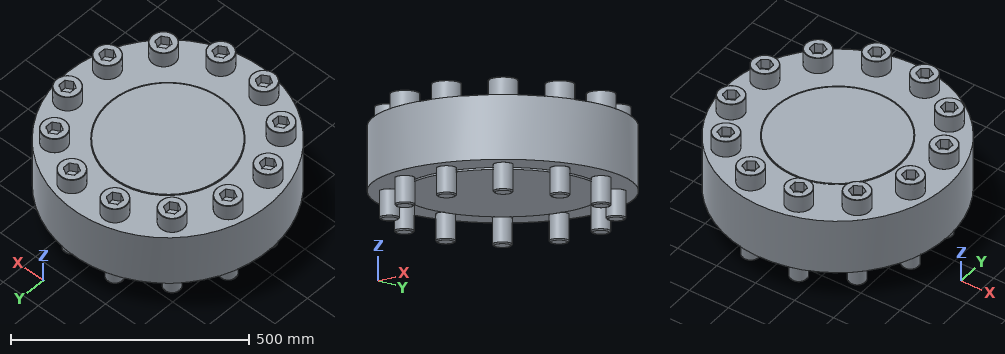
import cadquery as cq
import math

flange_diameter = 570.0
flange_thickness = 140.0
raised_face_diameter = 426.0
raised_face_height = 4.0

plug_diameter = 323.9
plug_chamfer = 2.0

bolt_count = 12
bolt_circle_diameter = 476.0
first_bolt_angle = 180.0 / bolt_count
shank_diameter = 42.0
shank_length = 200.0
shank_chamfer = 3.0
head_diameter = 63.0
head_height = shank_diameter
head_chamfer = 1.0
socket_across_flats = 32.0
socket_depth = 24.0


def make_plug_groove():
    """Ring with a vertical outer wall and a 45 degree inner slope."""
    plug_radius = plug_diameter / 2
    profile = [
        (plug_radius, flange_thickness),
        (plug_radius - plug_chamfer, flange_thickness),
        (plug_radius, flange_thickness - plug_chamfer),
    ]
    return cq.Workplane("XZ").polyline(profile).close().revolve(360, (0, 0), (0, 1))


def make_flange():
    rim = cq.Workplane("XY").circle(flange_diameter / 2).extrude(flange_thickness)
    raised_face = cq.Workplane("XY").circle(raised_face_diameter / 2).extrude(-raised_face_height)
    return rim.union(raised_face).cut(make_plug_groove())


def make_bolt():
    """Bolt on the Z axis with its head seated on the top of the flange."""
    seat = cq.Workplane("XY", origin=(0, 0, flange_thickness))
    head = seat.circle(head_diameter / 2).extrude(head_height).faces(">Z").chamfer(head_chamfer)
    shank = seat.circle(shank_diameter / 2).extrude(-shank_length).faces("<Z").chamfer(shank_chamfer)
    socket = (
        seat.workplane(offset=head_height)
        .polygon(6, socket_across_flats, circumscribed=True)
        .extrude(-socket_depth)
    )
    return head.union(shank).cut(socket)


def bolt_positions():
    radius = bolt_circle_diameter / 2
    for index in range(bolt_count):
        angle = math.radians(first_bolt_angle + index * 360.0 / bolt_count)
        yield radius * math.cos(angle), radius * math.sin(angle)


result = make_flange()
bolt = make_bolt()
for x, y in bolt_positions():
    result = result.union(bolt.translate((x, y, 0)))